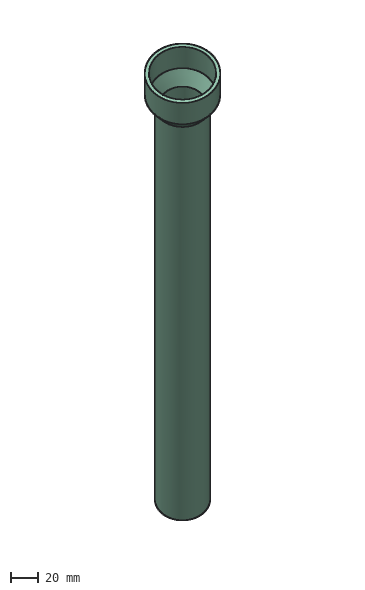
import cadquery as cq

total_length = 508.0
tube_outer_diameter = 41.275
socket_outer_diameter = 55.94
wall_thickness = 3.175
socket_depth = 25.4
taper_length = 12.7

tube_outer_radius = tube_outer_diameter / 2
tube_inner_radius = tube_outer_radius - wall_thickness
socket_outer_radius = socket_outer_diameter / 2
socket_inner_radius = socket_outer_radius - wall_thickness
socket_bottom_z = total_length - socket_depth
taper_bottom_z = socket_bottom_z - taper_length


def revolved_tube():
    """Tube with a tapered transition up to a wider open socket, revolved about Z."""
    return (
        cq.Workplane("XZ")
        .moveTo(tube_inner_radius, 0)
        .lineTo(tube_outer_radius, 0)
        .lineTo(tube_outer_radius, taper_bottom_z)
        .lineTo(socket_outer_radius, socket_bottom_z)
        .lineTo(socket_outer_radius, total_length)
        .lineTo(socket_inner_radius, total_length)
        .lineTo(socket_inner_radius, socket_bottom_z)
        .lineTo(tube_inner_radius, taper_bottom_z)
        .close()
        .revolve(360, (0, 0, 0), (0, 1, 0))
    )


result = revolved_tube()